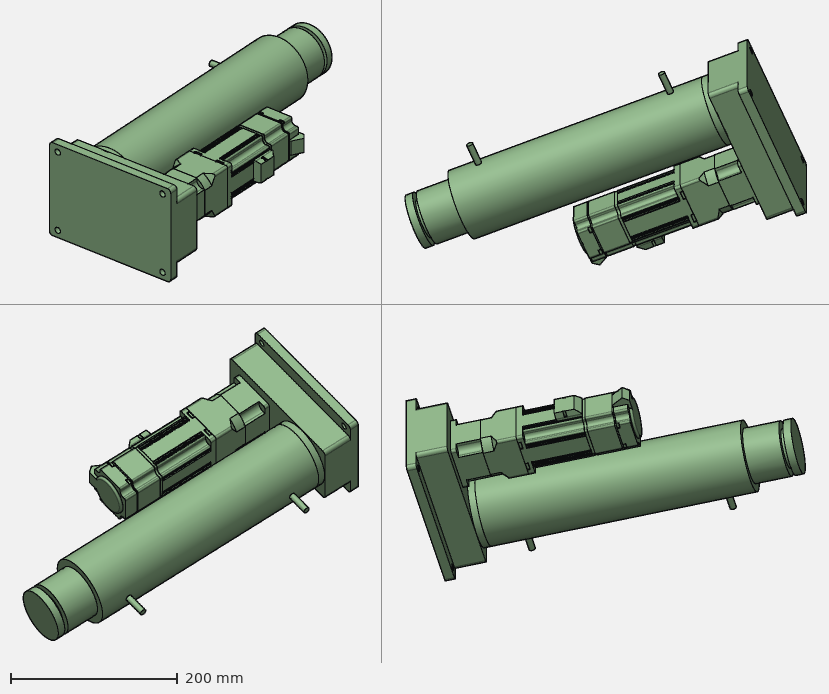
import cadquery as cq
import math


total_length = 450.0

plate_width = 185.0
plate_height = 130.0
plate_thickness = 12.0
plate_left = -45.0
plate_center_x = plate_left + plate_width / 2
box_height = 90.0
housing_end = 51.0
corner_radius = 5.0
hole_diameter = 8.0
hole_inset_x = 12.5
hole_inset_z = 10.5
boss_length = 9.0

tube_diameter = 88.0
tube_start = housing_end + boss_length
tube_end = 390.0
rod_diameter = 68.5
neck_diameter = 48.5
neck_length = 5.0
head_length = 10.0
rod_end = total_length - head_length - neck_length

pin_diameter = 8.0
pin_tip_x = -72.0
pin_positions = (100.5, 350.0)

motor_x = 93.0
motor_size = 60.5
motor_half = motor_size / 2
motor_corner_radius = 3.0
foot_end = 57.5
gearhead_neck_end = 87.8
turned_end = 101.2
turned_diameter = 69.5
gearhead_end = 132.5
output_size = 60.0
neck_notch = 11.5
neck_notch_radius = 8.0

motor_flange_end = 140.5
stator_end = 214.0
gasket_end = 218.0
brake_end = 251.5
joint_end = 253.5
encoder_end = 271.0
motor_end = 274.5
motor_notch = 10.5
notch_inner_radius = 5.5
notch_edge_radius = 2.2
joint_inset = 0.5
end_cap_diameter = 51.0
end_cap_fillet = 2.5

slot_offset = 14.0
slot_steps = ((6.0, 2.0), (2.2, 3.5))

pocket_offset = 16.5
pocket_length = 3.5
pocket_depth = 2.0
flange_pocket_width = 10.5
encoder_pocket_width = 7.5

connector_root_x = motor_x + motor_half
encoder_plug_height = 20.0
encoder_plug_inner_x = 112.5
encoder_plug_start = 252.0
encoder_plug_low_x = 126.0
encoder_plug_tip_x = 134.5
encoder_plug_tip_y = 267.0
encoder_plug_high_x = 128.5
power_plug_height = 29.5
power_plug_start = 182.5
power_plug_end = 215.0
power_plug_tip_x = 135.0
power_plug_slope_x = 127.0
power_plug_slope_drop = 2.0
power_plug_corner = 7.5
power_groove_y = 195.0
power_groove_width = 3.0
power_groove_depth = 2.2


def cylinder_y(diameter, y_start, y_end, center_x=0):
    """Cylinder along Y between two Y positions."""
    plane = cq.Workplane("XZ", origin=(center_x, y_start, 0))
    return plane.circle(diameter / 2).extrude(y_start - y_end)


def block_y(width, height, center_x, y_start, y_end):
    """Rectangular block along Y, centred on Z = 0."""
    plane = cq.Workplane("XZ", origin=(center_x, y_start, 0))
    return plane.rect(width, height).extrude(y_start - y_end)


def square_block(size, y_start, y_end):
    """Square block with rounded corners on the motor axis."""
    return block_y(size, size, motor_x, y_start, y_end).edges("|Y").fillet(motor_corner_radius)


def notched_block(size, notch, inner_radius, y_start, y_end):
    """Square block on the motor axis with a rounded square notch in each corner."""
    block = block_y(size, size, motor_x, y_start, y_end)
    corner = size / 2
    for side_x in (-1, 1):
        for side_z in (-1, 1):
            cutter = block_y(2 * notch, 2 * notch, motor_x + side_x * corner, y_start, y_end)
            cutter = cutter.edges("|Y").fillet(inner_radius)
            block = block.cut(cutter.translate((0, 0, side_z * corner)))
    return block


def motor_section(size, y_start, y_end):
    """Length of motor housing: notched square whose notch rims are rounded."""
    half = size / 2
    notch_wall = half - motor_notch
    block = notched_block(size, motor_notch, notch_inner_radius, y_start, y_end)
    rim_distance = math.hypot(half, notch_wall)
    rims = [
        edge
        for edge in block.edges("|Y").vals()
        if abs(math.hypot(edge.Center().x - motor_x, edge.Center().z) - rim_distance) < joint_inset
    ]
    return block.newObject(rims).fillet(notch_edge_radius)


def make_housing():
    plate = block_y(plate_width, plate_height, plate_center_x, 0, plate_thickness)
    plate = plate.edges("|Y").fillet(corner_radius)
    box = block_y(plate_width, box_height, plate_center_x, 0, housing_end)
    box = box.edges("|Y").fillet(corner_radius)
    boss = cylinder_y(tube_diameter, housing_end, tube_start)
    holes = (
        cq.Workplane("XZ", origin=(plate_center_x, 0, 0))
        .rect(plate_width - 2 * hole_inset_x, plate_height - 2 * hole_inset_z, forConstruction=True)
        .vertices()
        .circle(hole_diameter / 2)
        .extrude(-plate_thickness)
    )
    return plate.union(box).union(boss).cut(holes)


def make_rod_head():
    neck = cylinder_y(neck_diameter, rod_end, rod_end + neck_length)
    disc = cylinder_y(rod_diameter, rod_end + neck_length, total_length)
    return neck.union(disc)


def make_pin(y, tube_body):
    """Pin pointing to -X whose inner end is seated on the round side of the tube."""
    pin = cq.Workplane("YZ", origin=(pin_tip_x, y, 0)).circle(pin_diameter / 2).extrude(-pin_tip_x)
    return pin.cut(tube_body)


def make_gearhead():
    foot = square_block(output_size, housing_end, foot_end)
    neck = notched_block(output_size, neck_notch, neck_notch_radius, foot_end, gearhead_neck_end)
    case = square_block(motor_size, gearhead_neck_end, gearhead_end)
    turned_radius = turned_diameter / 2
    cone_radius = turned_radius + gearhead_end - turned_end
    turned_envelope = (
        cq.Workplane("XY")
        .moveTo(0, gearhead_neck_end)
        .lineTo(turned_radius, gearhead_neck_end)
        .lineTo(turned_radius, turned_end)
        .lineTo(cone_radius, gearhead_end)
        .lineTo(0, gearhead_end)
        .close()
        .revolve(360, (0, 0, 0), (0, 1, 0))
        .translate((motor_x, 0, 0))
    )
    return foot.union(neck).union(case.intersect(turned_envelope))


def stator_slots():
    """Stepped slots, two along each of the four sides of the stator."""
    slots = cq.Workplane("XY")
    for width, depth in slot_steps:
        for offset in (-slot_offset, slot_offset):
            slot = block_y(width, 2 * depth, motor_x + offset, motor_flange_end, stator_end)
            slot = slot.translate((0, 0, motor_half))
            for angle in (0, 90, 180, 270):
                slots = slots.add(slot.rotate((motor_x, 0, 0), (motor_x, 1, 0), angle))
    return slots.combine()


def screw_pockets(width, y_start):
    """Pockets in the top and bottom faces of the motor, two in each."""
    pockets = cq.Workplane("XY")
    for offset in (-pocket_offset, pocket_offset):
        for z in (-motor_half, motor_half):
            pocket = block_y(width, 2 * pocket_depth, motor_x + offset, y_start, y_start + pocket_length)
            pockets = pockets.add(pocket.translate((0, 0, z)))
    return pockets.combine()


def make_encoder_plug():
    outline = [
        (encoder_plug_inner_x, encoder_end),
        (connector_root_x, encoder_end),
        (connector_root_x, encoder_plug_start),
        (encoder_plug_low_x, encoder_plug_start),
        (encoder_plug_tip_x, encoder_plug_tip_y),
        (encoder_plug_high_x, motor_end),
        (encoder_plug_inner_x, motor_end),
    ]
    plane = cq.Workplane("XY", origin=(0, 0, -encoder_plug_height / 2))
    return plane.polyline(outline).close().extrude(encoder_plug_height)


def make_power_plug():
    root_z = power_plug_height / 2
    tip_z = root_z - power_plug_slope_drop
    section = [
        (connector_root_x, -root_z),
        (power_plug_slope_x, -root_z),
        (power_plug_tip_x, -tip_z),
        (power_plug_tip_x, tip_z),
        (power_plug_slope_x, root_z),
        (connector_root_x, root_z),
    ]
    plug = cq.Workplane("XZ", origin=(0, power_plug_start, 0)).polyline(section).close()
    plug = plug.extrude(power_plug_start - power_plug_end)
    plug = plug.edges(">X and >Y").chamfer(power_plug_corner)
    groove_length = power_plug_tip_x - power_plug_slope_x
    groove_x = (power_plug_tip_x + power_plug_slope_x) / 2
    for side in (-1, 1):
        groove = cq.Workplane("XY").box(groove_length, power_groove_width, 2 * power_groove_depth)
        plug = plug.cut(groove.translate((groove_x, power_groove_y, side * root_z)))
    return plug


def make_motor():
    recessed_size = motor_size - 2 * joint_inset
    motor = square_block(motor_size, gearhead_end, motor_flange_end)
    sections = (
        (motor_size, motor_flange_end, stator_end),
        (recessed_size, stator_end, gasket_end),
        (motor_size, gasket_end, brake_end),
        (recessed_size, brake_end, joint_end),
        (motor_size, joint_end, encoder_end),
    )
    for size, y_start, y_end in sections:
        motor = motor.union(motor_section(size, y_start, y_end))
    end_cap = cylinder_y(end_cap_diameter, encoder_end, motor_end, motor_x)
    end_cap = end_cap.faces(">Y").edges().fillet(end_cap_fillet)
    motor = motor.union(end_cap)
    motor = motor.cut(stator_slots())
    motor = motor.cut(screw_pockets(flange_pocket_width, gearhead_end))
    motor = motor.cut(screw_pockets(encoder_pocket_width, joint_end))
    return motor.union(make_encoder_plug()).union(make_power_plug())


housing = make_housing()
tube = cylinder_y(tube_diameter, tube_start, tube_end)
rod = cylinder_y(rod_diameter, tube_end, rod_end)
rod_head = make_rod_head()
pins = [make_pin(y, tube) for y in pin_positions]
gearhead = make_gearhead()
motor = make_motor()

bodies = [housing, tube, rod, rod_head, gearhead, motor, *pins]
result = cq.Compound.makeCompound([body.solids().val() for body in bodies])